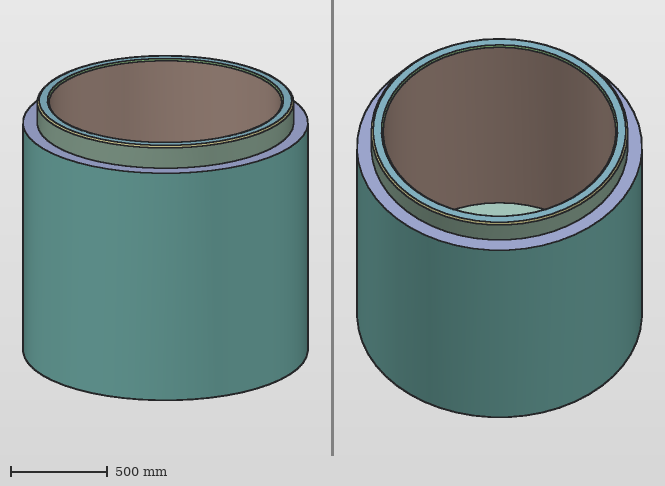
import cadquery as cq

outer_diameter = 1470.0
total_height = 1375.0

spigot_diameter = 1323.0
spigot_height = 122.0
rim_chamfer = 10.0

bore_diameter = 1200.0
base_thickness = 200.0
mouth_chamfer = 9.0

shoulder_height = total_height - spigot_height


def make_outer_body():
    """Plain cylinder carrying a spigot with a chamfered top edge."""
    body = cq.Workplane("XY").circle(outer_diameter / 2).extrude(shoulder_height)
    spigot = (
        cq.Workplane("XY")
        .workplane(offset=shoulder_height)
        .circle(spigot_diameter / 2)
        .extrude(spigot_height)
        .faces(">Z")
        .edges()
        .chamfer(rim_chamfer)
    )
    return body.union(spigot)


def make_well():
    """Straight bore above the base, with a chamfered mouth."""
    bore_radius = bore_diameter / 2
    mouth_radius = bore_radius + mouth_chamfer
    return (
        cq.Workplane("XZ")
        .moveTo(0, base_thickness)
        .lineTo(bore_radius, base_thickness)
        .lineTo(bore_radius, total_height - mouth_chamfer)
        .lineTo(mouth_radius, total_height)
        .lineTo(0, total_height)
        .close()
        .revolve(360, (0, 0, 0), (0, 1, 0))
    )


result = make_outer_body().cut(make_well())